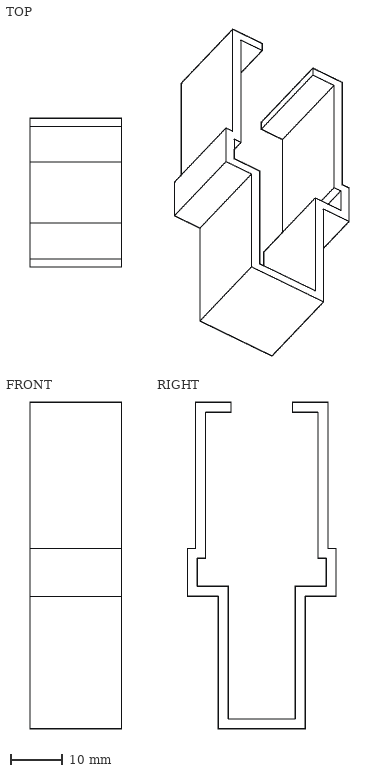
import cadquery as cq

length = 18.0
height = 64.0
wall = 2.0

base_width = 17.1
shoulder_width = 29.2
upper_width = 26.0
mouth_width = 12.0

shoulder_bottom = 26.0
shoulder_top = 35.4


def centred_box(width, bottom, top):
    """Box spanning the full length, centred on X and Y."""
    return (
        cq.Workplane("XY")
        .workplane(offset=bottom)
        .rect(length, width)
        .extrude(top - bottom)
    )


def inner(width):
    """Clear width between two walls of the given outer width."""
    return width - 2 * wall


outside = (
    centred_box(base_width, 0, shoulder_bottom)
    .union(centred_box(shoulder_width, shoulder_bottom, shoulder_top))
    .union(centred_box(upper_width, shoulder_top, height))
)

shoulder_floor = shoulder_bottom + wall
shoulder_ceiling = shoulder_top - wall
lip_underside = height - wall
hollow = (
    centred_box(inner(base_width), wall, shoulder_floor)
    .union(centred_box(inner(shoulder_width), shoulder_floor, shoulder_ceiling))
    .union(centred_box(inner(upper_width), shoulder_ceiling, lip_underside))
)

mouth = centred_box(mouth_width, lip_underside, height)

result = outside.cut(hollow.union(mouth))